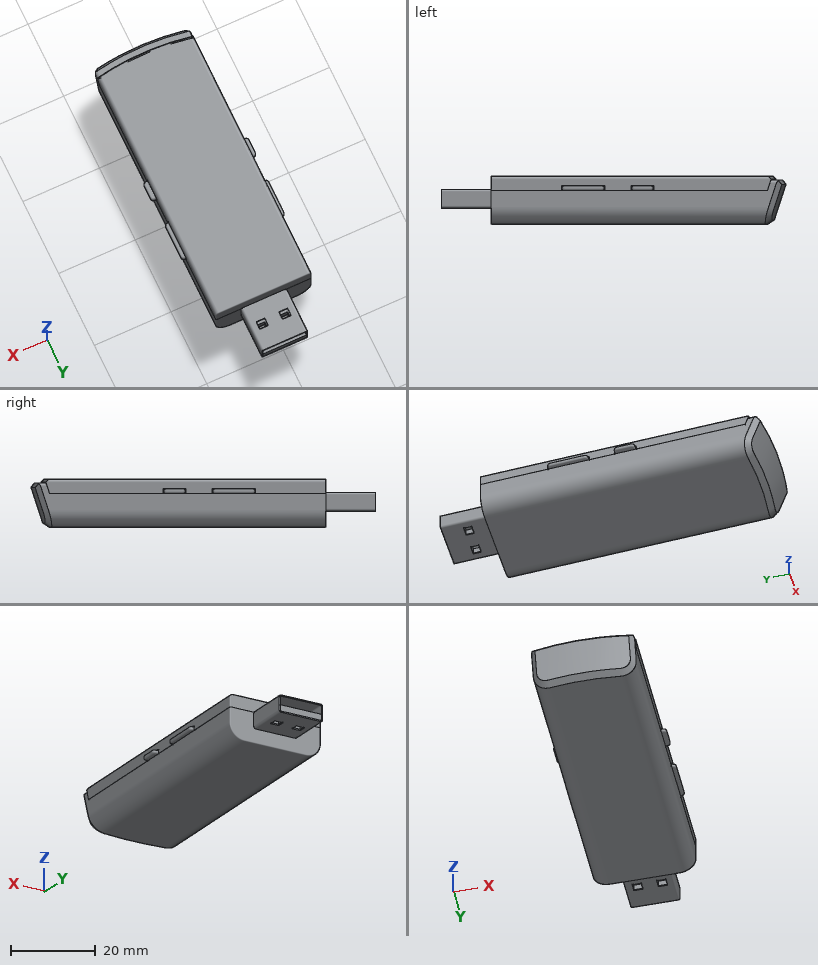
import cadquery as cq
import math

HOUSING_WIDTH = 24.95
HOUSING_HEIGHT = 11.4
SEAM_HEIGHT = 8.0
BOTTOM_CORNER_RADIUS = 4.0
TOP_CORNER_RADIUS = 0.8
REAR_EDGE_RADIUS = 0.25

LEAN_ANGLE = 18.0
BOW_RADIUS = 65.2
NOSE_HEIGHT = 10.5
NOSE_TOP_LENGTH = 70.1
NOSE_CHAMFER = 1.15
UPPER_END_LENGTH = 67.45
UPPER_BEVEL_ANGLE = 45.0
UPPER_BEVEL_BOTTOM = 10.7
UPPER_EDGE_RADIUS = 0.25

PLUG_WIDTH = 12.0
PLUG_HEIGHT = 4.5
PLUG_LENGTH = 11.75
PLUG_CENTRE_HEIGHT = 6.0
PLUG_CORNER_RADIUS = 0.6
PLUG_SHEET = 0.3
WINDOW_WIDTH = 2.2
WINDOW_LENGTH = 1.95
WINDOW_SPACING = 5.95
WINDOW_FROM_TIP = 6.2
INSERT_TOP = 5.7

BUTTON_HEIGHT = 1.1
BUTTON_CORNER_RADIUS = 0.7
BUTTON_EDGE_RADIUS = 0.4
RECESS_DEPTH = 1.0
RECESS_CLEARANCE = 0.2
RECESS_CORNER_RADIUS = 0.25
LONG_BUTTON_LENGTH = 9.95
LONG_BUTTON_Y = -21.8
LONG_BUTTON_REACH = 1.0
SHORT_BUTTON_LENGTH = 5.05
SHORT_BUTTON_Y = -35.8
SHORT_BUTTON_REACH = 1.2

SIDE_X = HOUSING_WIDTH / 2
BUTTONS = [
    (LONG_BUTTON_LENGTH, LONG_BUTTON_Y, LONG_BUTTON_REACH),
    (SHORT_BUTTON_LENGTH, SHORT_BUTTON_Y, SHORT_BUTTON_REACH),
]
OVERSIZE = 2 * NOSE_TOP_LENGTH


def box(width, length, height, centre):
    return cq.Workplane("XY").box(width, length, height).translate(centre)


def sharp_topped_bar(height):
    """Straight bar of the housing section, before its top corners are rounded."""
    bar = box(HOUSING_WIDTH, OVERSIZE, height, (0, -OVERSIZE / 2, height / 2))
    return bar.edges("|Y and <Z").fillet(BOTTOM_CORNER_RADIUS)


def housing_bar(height):
    """Straight bar of the full housing section, with a rounded rear edge."""
    bar = sharp_topped_bar(height).edges("|Y and >Z").fillet(TOP_CORNER_RADIUS)
    return bar.faces(">Y").edges().fillet(REAR_EDGE_RADIUS)


def leaning_block(length, height, lean_angle):
    """Block whose bowed front reaches Y = -length on the middle plane at the given height.

    The front leans forward towards the top by the given angle, or backward if it is negative.
    """
    lean = math.radians(lean_angle)
    radius = BOW_RADIUS / math.cos(lean)
    plane = cq.Plane(
        origin=(0, -length, height), xDir=(1, 0, 0), normal=(0, -math.sin(lean), math.cos(lean))
    )
    half_width = HOUSING_WIDTH
    bow_depth = radius - math.sqrt(radius**2 - half_width**2)
    return (
        cq.Workplane(plane)
        .moveTo(-half_width, bow_depth)
        .threePointArc((0, 0), (half_width, bow_depth))
        .lineTo(half_width, OVERSIZE)
        .lineTo(-half_width, OVERSIZE)
        .close()
        .extrude(OVERSIZE / 2, both=True)
    )


def above_seam(shape):
    """Keep only what lies above the seam between the two shells."""
    return shape.intersect(box(OVERSIZE, 2 * OVERSIZE, OVERSIZE, (0, 0, SEAM_HEIGHT + OVERSIZE / 2)))


def upper_end_block():
    """Block whose leaning front is the joint between the upper shell and the nose."""
    return leaning_block(UPPER_END_LENGTH, UPPER_BEVEL_BOTTOM, LEAN_ANGLE)


def make_lower_shell():
    """Lower half of the housing, with the nose that closes the front end."""
    shell = sharp_topped_bar(NOSE_HEIGHT)
    shell = shell.intersect(leaning_block(NOSE_TOP_LENGTH, NOSE_HEIGHT, LEAN_ANGLE))
    shell = shell.faces("<Y").edges().chamfer(NOSE_CHAMFER)
    shell = shell.intersect(housing_bar(NOSE_HEIGHT))
    return shell.cut(above_seam(upper_end_block()))


def button_blank(length, height, inner_x, outer_x, y):
    """Plain block standing on the seam, on the +X side."""
    centre = ((inner_x + outer_x) / 2, y, SEAM_HEIGHT + height / 2)
    return box(outer_x - inner_x, length, height, centre)


def make_recess(length, y, side):
    recess = button_blank(
        length + 2 * RECESS_CLEARANCE,
        BUTTON_HEIGHT + RECESS_CLEARANCE,
        SIDE_X - RECESS_DEPTH,
        SIDE_X + RECESS_DEPTH,
        y,
    )
    recess = recess.edges("|X and >Z").fillet(RECESS_CORNER_RADIUS)
    return recess if side > 0 else recess.mirror("YZ")


def make_button(length, y, reach, side):
    button = button_blank(length, BUTTON_HEIGHT, SIDE_X - RECESS_DEPTH, SIDE_X + reach, y)
    button = button.edges("|Z and >X").fillet(BUTTON_CORNER_RADIUS)
    button = button.faces(">X").edges("|Y").fillet(BUTTON_EDGE_RADIUS)
    return button if side > 0 else button.mirror("YZ")


def make_upper_shell():
    """Cover above the seam, with a bevelled front edge and the button recesses."""
    bar = sharp_topped_bar(HOUSING_HEIGHT)
    shell = bar.intersect(upper_end_block())
    shell = shell.intersect(leaning_block(UPPER_END_LENGTH, UPPER_BEVEL_BOTTOM, -UPPER_BEVEL_ANGLE))
    shell = shell.faces(">Z").edges("<Y").fillet(UPPER_EDGE_RADIUS)
    shell = above_seam(shell.intersect(housing_bar(HOUSING_HEIGHT)))
    for length, y, _ in BUTTONS:
        for side in (-1, 1):
            shell = shell.cut(make_recess(length, y, side))
    return shell


def plug_core():
    """Rounded space inside the plug's sheet metal."""
    centre = (0, PLUG_LENGTH / 2, PLUG_CENTRE_HEIGHT)
    core = box(PLUG_WIDTH - 2 * PLUG_SHEET, PLUG_LENGTH, PLUG_HEIGHT - 2 * PLUG_SHEET, centre)
    return core.edges("|Y").fillet(PLUG_CORNER_RADIUS - PLUG_SHEET)


def cut_windows(shape):
    """Cut the two plug windows right through a shape from top to bottom."""
    for side in (-1, 1):
        centre = (side * WINDOW_SPACING / 2, PLUG_LENGTH - WINDOW_FROM_TIP, PLUG_CENTRE_HEIGHT)
        shape = shape.cut(box(WINDOW_WIDTH, WINDOW_LENGTH, 2 * PLUG_HEIGHT, centre))
    return shape


def make_plug():
    """Sheet-metal tube, open at its tip."""
    centre = (0, PLUG_LENGTH / 2, PLUG_CENTRE_HEIGHT)
    tube = box(PLUG_WIDTH, PLUG_LENGTH, PLUG_HEIGHT, centre).edges("|Y").fillet(PLUG_CORNER_RADIUS)
    return cut_windows(tube.cut(plug_core()))


def make_plug_insert():
    """Contact carrier that fills the lower part of the plug."""
    centre = (0, PLUG_LENGTH / 2, INSERT_TOP + PLUG_HEIGHT / 2)
    space_above = box(PLUG_WIDTH, PLUG_LENGTH, PLUG_HEIGHT, centre)
    return cut_windows(plug_core().cut(space_above))


lower_shell = make_lower_shell()
upper_shell = make_upper_shell()
plug = make_plug()
plug_insert = make_plug_insert()
buttons = [make_button(*button, side) for button in BUTTONS for side in (-1, 1)]

result = cq.Compound.makeCompound(
    [
        lower_shell.val(),
        upper_shell.val(),
        plug.val(),
        plug_insert.val(),
        *[button.val() for button in buttons],
    ]
)